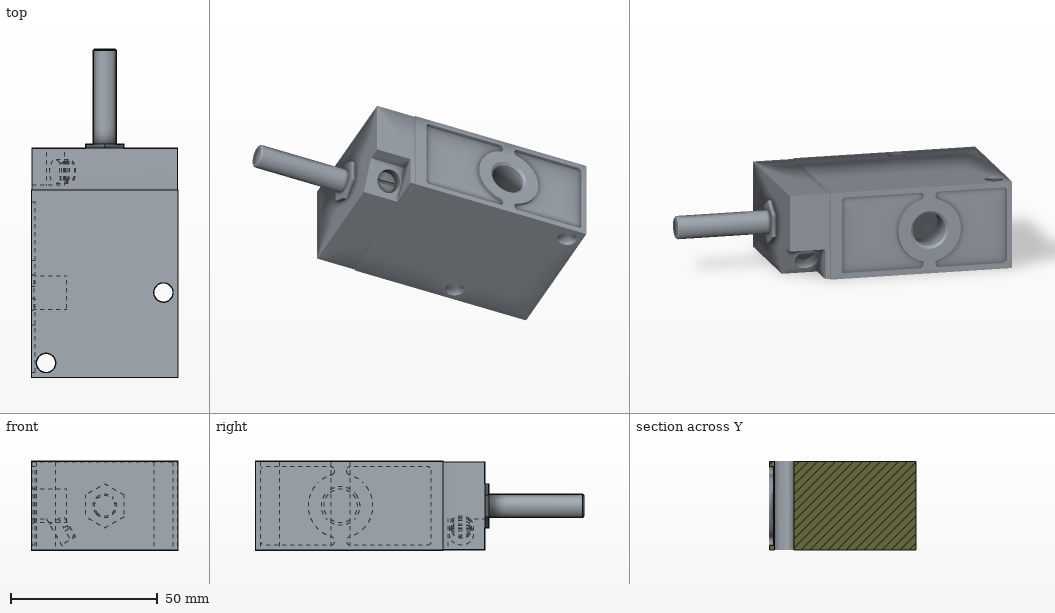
import cadquery as cq
import math


body_width = 50.0
body_length = 64.0
body_height = 30.4

cap_width = 49.6
cap_length = 14.2
cap_height = 30.0

overall_length = 112.0
nut_across_flats = 13.0
nut_thickness = 1.35
rod_diameter = 8.0
rod_chamfer = 0.5

mounting_hole_diameter = 6.5
mounting_hole_inset = 5.0
front_hole_y = 5.0
port_y = 29.0

port_core_diameter = 11.45
port_mouth_diameter = 13.16
port_depth = 12.0

panel_depth = 1.3
panel_front_margin = 1.8
panel_rear_margin = 4.1
panel_height = 26.7
panel_gap = 4.2
panel_corner_radius = 1.2
ring_diameter = 22.0

notch_length = 12.5
notch_height = 10.5
notch_shelf = 5.0
notch_tilt = 30.0
screw_from_cap_rear = 8.0
screw_hole_diameter = 8.2
screw_hole_depth = 5.5
screw_head_diameter = 7.0
screw_head_sink = 3.5
slot_width = 1.2
slot_depth = 1.4

body_side_x = -body_width / 2
cap_side_x = -cap_width / 2
cap_bottom_z = -cap_height / 2
cap_rear_y = body_length + cap_length
nut_rear_y = cap_rear_y + nut_thickness


def plane_facing_rear(y):
    """Plane across the part with its normal along +Y and local x along +X."""
    return cq.Plane(origin=(0, y, 0), xDir=(1, 0, 0), normal=(0, 1, 0))


def block(width, height, y_start, length):
    """Box centred on X and Z, running along Y."""
    return cq.Workplane(plane_facing_rear(y_start)).rect(width, height).extrude(length)


def make_nut():
    """Hexagonal nut with two corners pointing up and down."""
    across_corners = nut_across_flats / math.cos(math.radians(30))
    nut = cq.Workplane(plane_facing_rear(cap_rear_y)).polygon(6, across_corners).extrude(nut_thickness)
    return nut.rotate((0, 0, 0), (0, 1, 0), 90)


def make_rod():
    rod_length = overall_length - nut_rear_y
    rod = cq.Workplane(plane_facing_rear(nut_rear_y)).circle(rod_diameter / 2).extrude(rod_length)
    return rod.faces(">Y").chamfer(rod_chamfer)


def make_mounting_holes():
    hole_x = body_width / 2 - mounting_hole_inset
    return (
        cq.Workplane("XY", origin=(0, 0, -body_height / 2))
        .pushPoints([(-hole_x, front_hole_y), (hole_x, port_y)])
        .circle(mounting_hole_diameter / 2)
        .extrude(body_height)
    )


def make_port():
    """Blind bore along +X with a 45 degree mouth chamfer."""
    mouth_plane = cq.Workplane("YZ", origin=(body_side_x, port_y, 0))
    bore = mouth_plane.circle(port_core_diameter / 2).extrude(port_depth)
    mouth_depth = (port_mouth_diameter - port_core_diameter) / 2
    mouth = mouth_plane.circle(port_mouth_diameter / 2).extrude(mouth_depth, taper=45)
    return bore.union(mouth)


def make_panel(y_start, y_end):
    """Rounded rectangular recess cut away by the ring around the port."""
    side_plane = cq.Workplane("YZ", origin=(body_side_x, 0, 0))
    panel = (
        side_plane.center((y_start + y_end) / 2, 0)
        .rect(y_end - y_start, panel_height)
        .extrude(panel_depth)
    )
    ring = side_plane.center(port_y, 0).circle(ring_diameter / 2).extrude(panel_depth)
    panel = panel.cut(ring)
    return panel.edges("|X").fillet(panel_corner_radius)


def make_notch():
    """Recess below a flat ceiling, with a sloping inner face that is deepest at the bottom."""
    bottom_depth = notch_shelf + notch_height * math.tan(math.radians(notch_tilt))
    corner_plane = cq.Plane(origin=(cap_side_x, cap_rear_y, cap_bottom_z), xDir=(1, 0, 0), normal=(0, -1, 0))
    return (
        cq.Workplane(corner_plane)
        .lineTo(bottom_depth, 0)
        .lineTo(notch_shelf, notch_height)
        .lineTo(0, notch_height)
        .close()
        .extrude(notch_length)
    )


def make_screw_recess():
    """Round recess square to the sloping face, leaving a slotted screw head inside."""
    tilt = math.radians(notch_tilt)
    face_x = cap_side_x + notch_shelf + notch_height / 2 * math.tan(tilt)
    face_centre = (face_x, cap_rear_y - screw_from_cap_rear, cap_bottom_z + notch_height / 2)
    inward = (math.cos(tilt), 0, math.sin(tilt))
    face = cq.Workplane(cq.Plane(origin=face_centre, xDir=(0, 1, 0), normal=inward))
    recess = face.circle(screw_hole_diameter / 2).extrude(screw_hole_depth)
    head_plane = face.workplane(offset=screw_head_sink)
    head = head_plane.circle(screw_head_diameter / 2).extrude(screw_hole_depth - screw_head_sink)
    slot = head_plane.rect(screw_head_diameter, slot_width).extrude(slot_depth)
    return recess.cut(head.cut(slot))


body = block(body_width, body_height, 0, body_length)
body = body.cut(make_mounting_holes()).cut(make_port())
body = body.cut(make_panel(panel_front_margin, port_y - panel_gap / 2))
body = body.cut(make_panel(port_y + panel_gap / 2, body_length - panel_rear_margin))

cap = block(cap_width, cap_height, body_length, cap_length)
cap = cap.cut(make_notch()).cut(make_screw_recess())

result = body.union(cap).union(make_nut()).union(make_rod())